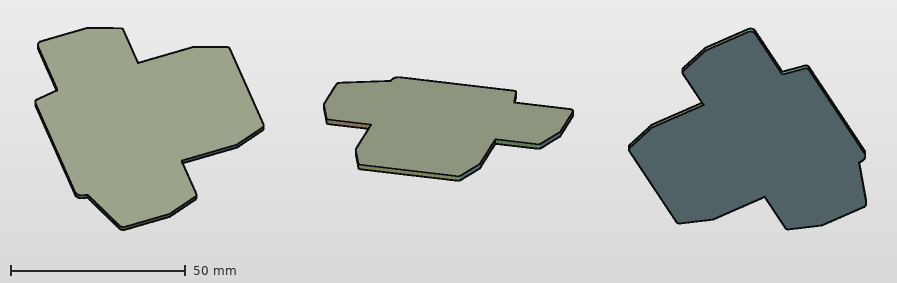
import cadquery as cq
import math

width = 70.0
height = 58.8
thickness = 1.5

stem_half_width = 18.4
wing_half_width = width / 2
shoulder_y = 32.4
left_wing_bottom_y = 7.5
bevel_height = 9.6

foot_left_x = -17.15
foot_right_x = 20.65
foot_right_y = 3.0

bevel_slope = math.tan(math.radians(20))
foot_slope = math.tan(math.radians(10))

foot_radius = 1.95
large_radius = 1.5
small_radius = 1.0
inner_radius = 0.4

stem_top_half_width = stem_half_width - bevel_height * bevel_slope
wing_top_half_width = wing_half_width - bevel_height * bevel_slope
stem_bevel_y = height - bevel_height
wing_bevel_y = shoulder_y - bevel_height
foot_bottom_left_x = foot_left_x + left_wing_bottom_y * foot_slope
foot_bottom_right_x = foot_right_x - foot_right_y * foot_slope
right_wing_bottom_y = foot_right_y + (wing_half_width - foot_right_x) * bevel_slope

rounded_corners = [
    (foot_bottom_left_x, 0, small_radius),
    (foot_bottom_right_x, 0, foot_radius),
    (wing_half_width, right_wing_bottom_y, large_radius),
    (-wing_half_width, left_wing_bottom_y, large_radius),
    (foot_left_x, left_wing_bottom_y, inner_radius),
]
for side in (-1, 1):
    rounded_corners += [
        (side * wing_half_width, wing_bevel_y, small_radius),
        (side * wing_top_half_width, shoulder_y, small_radius),
        (side * stem_half_width, stem_bevel_y, small_radius),
        (side * stem_top_half_width, height, small_radius),
    ]

outline = [
    (foot_bottom_left_x, 0),
    (foot_bottom_right_x, 0),
    (foot_right_x, foot_right_y),
    (wing_half_width, right_wing_bottom_y),
    (wing_half_width, wing_bevel_y),
    (wing_top_half_width, shoulder_y),
    (stem_half_width, shoulder_y),
    (stem_half_width, stem_bevel_y),
    (stem_top_half_width, height),
    (-stem_top_half_width, height),
    (-stem_half_width, stem_bevel_y),
    (-stem_half_width, shoulder_y),
    (-wing_top_half_width, shoulder_y),
    (-wing_half_width, wing_bevel_y),
    (-wing_half_width, left_wing_bottom_y),
    (foot_left_x, left_wing_bottom_y),
]


def round_corner(plate, x, y, radius):
    """Round the upright edge of the plate that stands at the given corner."""
    edge = cq.selectors.NearestToPointSelector((x, y, thickness / 2))
    return plate.edges("|Z").edges(edge).fillet(radius)


result = cq.Workplane("XY").polyline(outline).close().extrude(thickness)
for corner_x, corner_y, corner_radius in rounded_corners:
    result = round_corner(result, corner_x, corner_y, corner_radius)